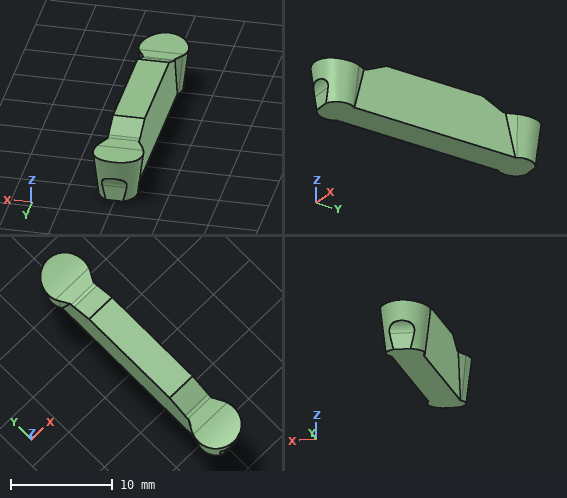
import cadquery as cq
import math

LENGTH = 26.12
HEIGHT = 5.8
BODY_WIDTH = 3.2

HEAD_WIDTH = 5.0
CLEARANCE = math.radians(7)
NECK_ANGLE = math.radians(30)

DISH_RADIUS = 10.97
DISH_BOTTOM = 4.52
DISH_END_Y = 9.66
BEND_OUTER_Y = 8.18
BEND_INNER_Y = 7.78
RAMP_TOP_Y = 5.65

RELIEF_Y = 12.28
RELIEF_FLAT_HEIGHT = 1.65
RELIEF_RADIUS = 1.45

OVERRUN = 0.52

TIP_Y = LENGTH / 2
draft = math.tan(CLEARANCE)
foot_radius = HEAD_WIDTH / 2 - DISH_BOTTOM * draft
tip_height = DISH_BOTTOM + (HEAD_WIDTH / 2) ** 2 / (2 * DISH_RADIUS)
HEAD_Y = TIP_Y - foot_radius - tip_height * draft


def head_outline(z):
    """Circle with two tangent flanks meeting at a point towards the middle."""
    radius = foot_radius + z * draft
    tangent_x = radius * math.cos(NECK_ANGLE)
    tangent_y = HEAD_Y - radius * math.sin(NECK_ANGLE)
    apex_y = HEAD_Y - radius / math.sin(NECK_ANGLE)
    return (
        cq.Workplane("XY", origin=(0, 0, z))
        .moveTo(0, apex_y)
        .lineTo(tangent_x, tangent_y)
        .threePointArc((0, HEAD_Y + radius), (-tangent_x, tangent_y))
        .close()
        .wire()
        .val()
    )


def make_head():
    """Head and neck, flaring upwards at the clearance angle."""
    return cq.Workplane(cq.Solid.makeLoft([head_outline(0), head_outline(HEIGHT)], True))


def dish_height(y):
    offset = y - HEAD_Y
    return DISH_BOTTOM + DISH_RADIUS - math.sqrt(DISH_RADIUS ** 2 - offset ** 2)


def make_side_profile():
    """Half of the YZ side shape: dished top, ramp and relieved front."""
    outer_y = TIP_Y + OVERRUN
    dish_end_z = dish_height(DISH_END_Y)
    dish_angle = math.asin((HEAD_Y - DISH_END_Y) / DISH_RADIUS)
    bend_z = dish_end_z + (DISH_END_Y - BEND_OUTER_Y) * math.tan(dish_angle)

    relief_angle = math.acos(1 - (outer_y - RELIEF_Y) / RELIEF_RADIUS)
    relief_end_z = RELIEF_FLAT_HEIGHT + RELIEF_RADIUS * math.sin(relief_angle)
    relief_mid = (
        RELIEF_Y + RELIEF_RADIUS * (1 - math.cos(relief_angle / 2)),
        RELIEF_FLAT_HEIGHT + RELIEF_RADIUS * math.sin(relief_angle / 2),
    )

    bend_run = BEND_OUTER_Y - BEND_INNER_Y
    ramp_run = BEND_INNER_Y - RAMP_TOP_Y
    bend_rise = (HEIGHT - bend_z) * bend_run / (2 * ramp_run + bend_run)
    bend_rise += math.tan(dish_angle) * bend_run * ramp_run / (2 * ramp_run + bend_run)

    return (
        cq.Workplane("YZ")
        .moveTo(0, 0)
        .lineTo(RELIEF_Y, 0)
        .lineTo(RELIEF_Y, RELIEF_FLAT_HEIGHT)
        .threePointArc(relief_mid, (outer_y, relief_end_z))
        .lineTo(outer_y, dish_height(outer_y))
        .threePointArc((HEAD_Y, DISH_BOTTOM), (DISH_END_Y, dish_end_z))
        .lineTo(BEND_OUTER_Y, bend_z)
        .tangentArcPoint((BEND_INNER_Y, bend_z + bend_rise), relative=False)
        .lineTo(RAMP_TOP_Y, HEIGHT)
        .lineTo(0, HEIGHT)
        .close()
        .extrude(HEAD_WIDTH, both=True)
    )


def make_half():
    """The +Y half of the insert."""
    body = cq.Workplane("XY").box(BODY_WIDTH, HEAD_Y, HEIGHT, centered=(True, False, False))
    return body.union(make_head()).intersect(make_side_profile())


half = make_half()
result = half.union(half.mirror("XZ")).clean()